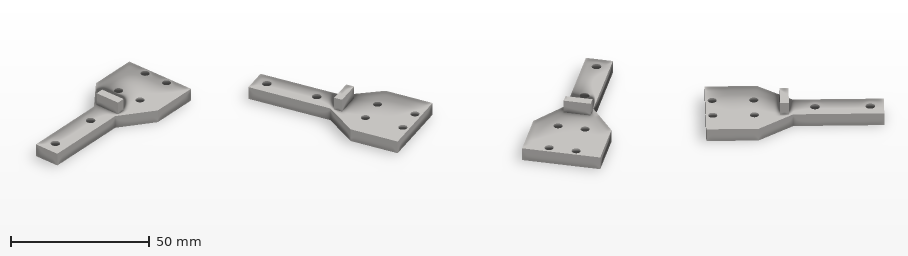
import cadquery as cq

length = 64.5
head_width = 28.9
handle_width = 10.0
total_height = 10.0
plate_thickness = total_height / 2
handle_length = 32.9
head_length = 18.9

block_depth = 3.15
block_start = 34.45

head_hole_diameter = 3.3
head_hole_spacing_x = 10.0
head_hole_spacing_y = 15.0
head_hole_end_margin = 2.5
handle_hole_diameter = 3.5
handle_hole_spacing = 20
handle_hole_end_margin = 4.95


def make_plate():
    """Wide head tapering symmetrically into a narrow handle."""
    right_side = [
        (handle_width / 2, 0),
        (handle_width / 2, handle_length),
        (head_width / 2, length - head_length),
        (head_width / 2, length),
    ]
    left_side = [(-x, y) for x, y in reversed(right_side)]
    return cq.Workplane("XY").polyline(right_side + left_side).close().extrude(plate_thickness)


def make_block():
    """Rectangular stop standing from the underside to the full height."""
    return (
        cq.Workplane("XY")
        .center(0, block_start + block_depth / 2)
        .rect(handle_width, block_depth)
        .extrude(total_height)
    )


def make_holes(centres, diameter):
    """Cutting cylinders through the plate thickness."""
    return cq.Workplane("XY").pushPoints(centres).circle(diameter / 2).extrude(plate_thickness)


last_head_row = length - head_hole_end_margin
head_hole_centres = [
    (side * head_hole_spacing_x / 2, y)
    for side in (-1, 1)
    for y in (last_head_row - head_hole_spacing_y, last_head_row)
]
handle_hole_centres = [(0, handle_hole_end_margin + i * handle_hole_spacing) for i in range(2)]

result = (
    make_plate()
    .union(make_block())
    .cut(make_holes(head_hole_centres, head_hole_diameter))
    .cut(make_holes(handle_hole_centres, handle_hole_diameter))
)